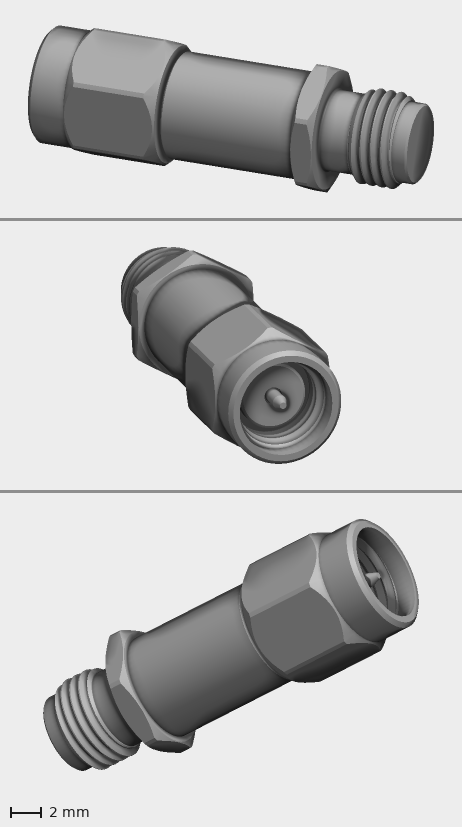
import cadquery as cq
import math

TOTAL_LENGTH = 25.91

HEX_FLATS = 7.94
HEX_CORNER_DIAMETER = 8.99
SLEEVE_DIAMETER = 7.76
SLEEVE_CHAMFER = 0.27
NUT_HEX_START = 2.54
NUT_HEX_END = 8.86
NUT_CHAMFER_LENGTH = 0.72
NUT_CHAMFER_DEPTH = (HEX_CORNER_DIAMETER - SLEEVE_DIAMETER) / 2

NECK_DIAMETER = 5.33
BODY_DIAMETER = 7.11
BODY_START = 9.15
BODY_CHAMFER = 0.1
FLANGE_START = 18.32
FLANGE_END = 19.82
FLANGE_CHAMFER_LENGTH = 0.33
FLANGE_CHAMFER_DEPTH = FLANGE_CHAMFER_LENGTH * math.tan(math.radians(60))

BARREL_DIAMETER = 5.33
BARREL_CHAMFER = 0.13
BARREL_ROOT_FILLET = 0.13

THREAD_MAJOR_DIAMETER = 6.35
THREAD_PITCH = 25.4 / 36
THREAD_LAND = THREAD_PITCH / 8
THREAD_FLANK_SLOPE = math.tan(math.radians(30))
RIDGE_OVERLAP = 0.05

JACK_MINOR_DIAMETER = 5.49
JACK_THREAD_DEPTH = (THREAD_MAJOR_DIAMETER - JACK_MINOR_DIAMETER) / 2
JACK_THREAD_START = 21.83
JACK_THREAD_END = 24.89
JACK_HELIX_START = 20.98
JACK_HELIX_TURNS = 6

NUT_MINOR_DIAMETER = 5.41
NUT_THREAD_DEPTH = (THREAD_MAJOR_DIAMETER - NUT_MINOR_DIAMETER) / 2
MOUTH_DEPTH = 1.33
CAVITY_DEPTH = 3.5
LEAD_IN_LENGTH = NUT_THREAD_DEPTH
NUT_HELIX_START = 0.28
NUT_HELIX_TURNS = 5

DIELECTRIC_DIAMETER = 4.45
DIELECTRIC_CHAMFER_DEPTH = 0.16
DIELECTRIC_CHAMFER_LENGTH = 0.1
DIELECTRIC_FACE = 2.62
CONTACT_RECESS_DIAMETER = 1.19
CONTACT_RECESS_DEPTH = 0.3
PIN_DIAMETER = 0.94
PIN_TIP_DIAMETER = 0.44
PIN_TIP = 0.58
PIN_TAPER_END = 1.3


def revolve_about_axis(points):
    """Turn an (x, radius) outline about the X axis."""
    return cq.Workplane("XY").polyline(points).close().revolve(360, (0, 0, 0), (1, 0, 0))


def cylinder(start, end, diameter, start_chamfer=0, end_chamfer=0):
    """Make a cylinder along X with optional 45 degree end chamfers."""
    shape = cq.Workplane("YZ", origin=(start, 0, 0)).circle(diameter / 2).extrude(end - start)
    if start_chamfer:
        shape = shape.faces("<X").chamfer(start_chamfer)
    if end_chamfer:
        shape = shape.faces(">X").chamfer(end_chamfer)
    return shape


def turned_envelope(start, end, diameter, chamfer_length, chamfer_depth):
    """Make a cylinder whose two ends are bevelled by the same amount."""
    outer = diameter / 2
    inner = outer - chamfer_depth
    return revolve_about_axis([
        (start, 0),
        (start, inner),
        (start + chamfer_length, outer),
        (end - chamfer_length, outer),
        (end, inner),
        (end, 0),
    ])


def hexagon(start, end, chamfer_length, chamfer_depth):
    """Make a hexagon with corners at +Z and -Z, turned down at its corners."""
    prism = (
        cq.Workplane("YZ", origin=(start, 0, 0))
        .polygon(6, HEX_FLATS, circumscribed=True)
        .extrude(end - start)
    )
    return prism.intersect(
        turned_envelope(start, end, HEX_CORNER_DIAMETER, chamfer_length, chamfer_depth)
    )


def coupling_nut():
    sleeve = cylinder(0, NUT_HEX_START, SLEEVE_DIAMETER, start_chamfer=SLEEVE_CHAMFER)
    return sleeve.union(hexagon(NUT_HEX_START, NUT_HEX_END, NUT_CHAMFER_LENGTH, NUT_CHAMFER_DEPTH))


def body():
    neck = cylinder(NUT_HEX_END, BODY_START, NECK_DIAMETER)
    tube = cylinder(BODY_START, FLANGE_START, BODY_DIAMETER, start_chamfer=BODY_CHAMFER)
    flange = hexagon(FLANGE_START, FLANGE_END, FLANGE_CHAMFER_LENGTH, FLANGE_CHAMFER_DEPTH)
    barrel = cylinder(FLANGE_END, TOTAL_LENGTH, BARREL_DIAMETER, end_chamfer=BARREL_CHAMFER)
    barrel_radius = BARREL_DIAMETER / 2
    root_fillet = (
        cq.Workplane("XY")
        .moveTo(FLANGE_END, barrel_radius - BARREL_ROOT_FILLET)
        .lineTo(FLANGE_END, barrel_radius + BARREL_ROOT_FILLET)
        .radiusArc((FLANGE_END + BARREL_ROOT_FILLET, barrel_radius), -BARREL_ROOT_FILLET)
        .lineTo(FLANGE_END + BARREL_ROOT_FILLET, barrel_radius - BARREL_ROOT_FILLET)
        .close()
        .revolve(360, (0, 0, 0), (1, 0, 0))
    )
    return neck.union(tube).union(flange).union(barrel).union(root_fillet)


def thread_ridge(start, turns, minor_diameter, crest_width):
    """Make a right-hand helical ridge whose first crest lies at -Z, at the given x."""
    crest_radius = THREAD_MAJOR_DIAMETER / 2
    base_radius = minor_diameter / 2 - RIDGE_OVERLAP
    half_crest = crest_width / 2
    half_base = half_crest + (crest_radius - base_radius) * THREAD_FLANK_SLOPE
    helix = cq.Wire.makeHelix(THREAD_PITCH, THREAD_PITCH * turns, base_radius)
    return (
        cq.Workplane("XZ")
        .polyline([
            (base_radius, -half_base),
            (crest_radius, -half_crest),
            (crest_radius, half_crest),
            (base_radius, half_base),
        ])
        .close()
        .sweep(helix, isFrenet=True)
        .rotate((0, 0, 0), (0, 1, 0), 90)
        .translate((start, 0, 0))
    )


def jack_thread():
    """Make the external thread, bevelled at both ends, on its own core."""
    ridge = thread_ridge(JACK_HELIX_START, JACK_HELIX_TURNS, JACK_MINOR_DIAMETER, THREAD_LAND)
    envelope = turned_envelope(
        JACK_THREAD_START, JACK_THREAD_END, THREAD_MAJOR_DIAMETER, JACK_THREAD_DEPTH, JACK_THREAD_DEPTH
    )
    core = cylinder(JACK_THREAD_START, JACK_THREAD_END, JACK_MINOR_DIAMETER)
    return ridge.intersect(envelope).union(core)


def nut_cavity():
    """Make the cavity: plain mouth, conical lead-in and bore, with its seam at -Y."""
    lead_in_end = MOUTH_DEPTH + LEAD_IN_LENGTH
    return revolve_about_axis([
        (0, 0),
        (0, THREAD_MAJOR_DIAMETER / 2),
        (MOUTH_DEPTH, THREAD_MAJOR_DIAMETER / 2),
        (lead_in_end, NUT_MINOR_DIAMETER / 2),
        (CAVITY_DEPTH, NUT_MINOR_DIAMETER / 2),
        (CAVITY_DEPTH, 0),
    ]).rotate((0, 0, 0), (1, 0, 0), 180)


def nut_thread_groove():
    """Make the internal thread groove, which leaves a narrow land between turns."""
    groove_floor = THREAD_PITCH - THREAD_LAND - 2 * NUT_THREAD_DEPTH * THREAD_FLANK_SLOPE
    groove = thread_ridge(NUT_HELIX_START, NUT_HELIX_TURNS, NUT_MINOR_DIAMETER, groove_floor)
    return groove.intersect(cylinder(MOUTH_DEPTH, CAVITY_DEPTH, HEX_FLATS))


def centre_contact():
    radius = DIELECTRIC_DIAMETER / 2
    dielectric = revolve_about_axis([
        (DIELECTRIC_FACE, 0),
        (DIELECTRIC_FACE, radius - DIELECTRIC_CHAMFER_DEPTH),
        (DIELECTRIC_FACE + DIELECTRIC_CHAMFER_LENGTH, radius),
        (CAVITY_DEPTH, radius),
        (CAVITY_DEPTH, 0),
    ])
    recess_floor = DIELECTRIC_FACE + CONTACT_RECESS_DEPTH
    recess = cylinder(DIELECTRIC_FACE, recess_floor, CONTACT_RECESS_DIAMETER)
    pin = revolve_about_axis([
        (PIN_TIP, 0),
        (PIN_TIP, PIN_TIP_DIAMETER / 2),
        (PIN_TAPER_END, PIN_DIAMETER / 2),
        (CAVITY_DEPTH, PIN_DIAMETER / 2),
        (CAVITY_DEPTH, 0),
    ])
    return dielectric.cut(recess).union(pin)


shell = coupling_nut().union(body()).union(jack_thread())
result = shell.cut(nut_cavity()).cut(nut_thread_groove()).union(centre_contact())